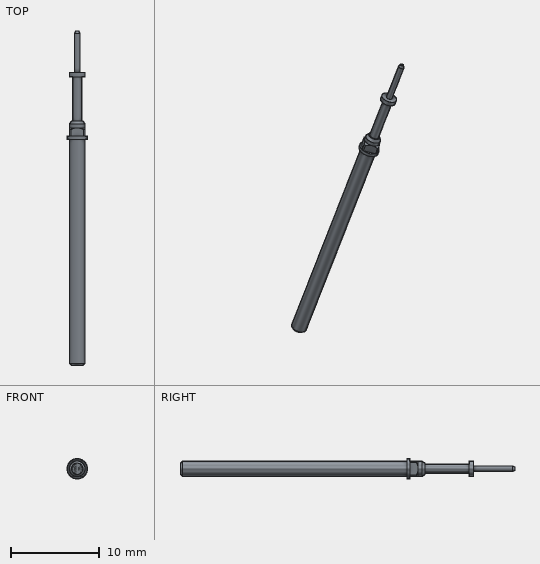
import cadquery as cq


overall_length = 37.7

tip_diameter = 0.65
collar_diameter = 1.75
neck_diameter = 1.05
shoulder_diameter = 1.75
square_corner_diameter = 2.26
flange_diameter = 2.3
barrel_diameter = 1.75

flange_thickness = 0.35
square_length = 0.74
square_lead_in = 0.2
shoulder_length = 0.42
shoulder_bevel_length = 0.35
shoulder_bevel_width = 0.22
neck_length = 4.97
collar_thickness = 0.5
tip_chamfer = 0.15
tip_chamfer_length = 0.3

barrel_length = 25.5
end_chamfer = 0.24

square_across_flats = shoulder_diameter

flange_front = flange_thickness
square_front = flange_front + square_length
lead_in_front = square_front + square_lead_in
bevel_rear = lead_in_front + shoulder_length
neck_rear = bevel_rear + shoulder_bevel_length
collar_rear = neck_rear + neck_length
collar_front = collar_rear + collar_thickness
barrel_rear = -barrel_length
tip_end = overall_length - barrel_length


def cylinder(diameter, start, end):
    """Solid cylinder on the Y axis between two stations."""
    disc = cq.Workplane("XZ", origin=(0, end, 0)).circle(diameter / 2)
    return disc.extrude(end - start)


def cone(start_diameter, end_diameter, start, end):
    """Solid truncated cone on the Y axis between two stations."""
    half_section = cq.Workplane("XY").polyline(
        [(0, start), (start_diameter / 2, start), (end_diameter / 2, end), (0, end)]
    )
    return half_section.close().revolve(360, (0, 0, 0), (0, 1, 0))


def make_barrel():
    """Long plain barrel, chamfered at the rear end."""
    return cylinder(barrel_diameter, barrel_rear, 0).faces("<Y").chamfer(end_chamfer)


def make_square():
    """Four flats with rounded corners, coned down towards the shoulder."""
    round_blank = cylinder(square_corner_diameter, flange_front, square_front)
    lead_in = cone(square_corner_diameter, shoulder_diameter, square_front, lead_in_front)
    prism = cq.Workplane("XZ", origin=(0, lead_in_front, 0)).rect(
        square_across_flats, square_across_flats
    )
    return round_blank.union(lead_in).intersect(prism.extrude(lead_in_front - flange_front))


def make_shoulder():
    """Round shoulder between the square and the neck, bevelled towards the neck."""
    shoulder = cylinder(shoulder_diameter, lead_in_front, bevel_rear)
    bevel_end_diameter = shoulder_diameter - 2 * shoulder_bevel_width
    return shoulder.union(cone(shoulder_diameter, bevel_end_diameter, bevel_rear, neck_rear))


def make_plunger():
    """Neck, collar and thin tip pin with a chamfered end."""
    neck = cylinder(neck_diameter, neck_rear, collar_rear)
    collar = cylinder(collar_diameter, collar_rear, collar_front)
    pin = cylinder(tip_diameter, collar_front, tip_end - tip_chamfer_length)
    pin_end = cone(tip_diameter, tip_diameter - 2 * tip_chamfer, tip_end - tip_chamfer_length, tip_end)
    return neck.union(collar).union(pin).union(pin_end)


flange = cylinder(flange_diameter, 0, flange_front)

result = make_barrel().union(flange).union(make_square()).union(make_shoulder()).union(make_plunger())